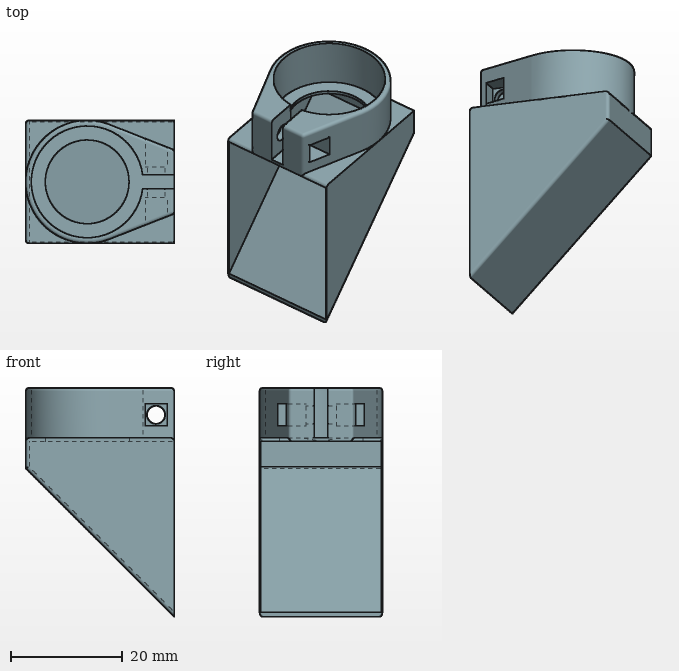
import cadquery as cq
import math

length = 26.6
width = 22.0
height = 41.0

ring_height = 8.98
ring_radius = width / 2
bore_radius = 10.0
slot_width = 2.5
arm_end_half_width = 5.7

wall = 0.6
side_wall = 0.25
window_radius = 7.5
edge_radius = 0.6

screw_radius = 1.6
screw_end_distance = 3.3
screw_depth = 4.85
pocket_size = 3.95
screw_seat_thickness = 1.48

x_min = -ring_radius
x_max = x_min + length
wedge_top = height - ring_height
wedge_front_bottom = length
screw_x = x_max - screw_end_distance
screw_z = height - screw_depth


def make_wedge():
    """Block with a 45 degree underside and rounded outer edges."""
    profile = [
        (x_min, wedge_top),
        (x_max, wedge_top),
        (x_max, 0),
        (x_min, wedge_front_bottom),
    ]
    wedge = cq.Workplane("XZ").polyline(profile).close().extrude(width / 2, both=True)
    slope_edges = wedge.faces("<(1, 0, 1)").edges("not |Y")
    cross_edges = wedge.faces(">Z").edges("|Y")
    front_edges = wedge.faces("<X").edges("|Z")
    rounded_edges = slope_edges.vals() + cross_edges.vals() + front_edges.vals()
    return wedge.newObject(rounded_edges).fillet(edge_radius)


def make_cavity():
    """Inside of the wedge, open at +X, with thinner walls at the Y sides."""
    ceiling = wedge_top - wall
    inner_x = x_min + wall
    slope_rise = wall * math.sqrt(2)
    profile = [
        (inner_x, ceiling),
        (x_max, ceiling),
        (x_max, slope_rise),
        (inner_x, x_max - inner_x + slope_rise),
    ]
    return cq.Workplane("XZ").polyline(profile).close().extrude(width / 2 - side_wall, both=True)


def make_clamp():
    """Solid teardrop whose straight sides run tangent from the ring to the arm ends."""
    end_distance = math.hypot(x_max, arm_end_half_width)
    tangent_angle = math.atan2(arm_end_half_width, x_max) + math.acos(ring_radius / end_distance)
    tangent_x = ring_radius * math.cos(tangent_angle)
    tangent_y = ring_radius * math.sin(tangent_angle)
    foot = wedge_top - edge_radius
    clamp = (
        cq.Workplane("XY", origin=(0, 0, foot))
        .moveTo(tangent_x, tangent_y)
        .threePointArc((x_min, 0), (tangent_x, -tangent_y))
        .lineTo(x_max, -arm_end_half_width)
        .lineTo(x_max, arm_end_half_width)
        .close()
        .extrude(height - foot)
    )
    clamp = clamp.faces(">X").edges("|Z").fillet(edge_radius)
    return clamp.faces(">Z").edges().fillet(edge_radius)


def make_clamp_opening():
    """Bore of the ring joined to the slot between the arms."""
    base = cq.Workplane("XY", origin=(0, 0, wedge_top))
    bore = base.circle(bore_radius).extrude(ring_height)
    slot = base.center(x_max / 2, 0).rect(x_max, slot_width).extrude(ring_height)
    return bore.union(slot)


def make_screw_cut():
    """Round screw hole through both arms plus the square pockets at its ends."""
    across = cq.Workplane("XZ", origin=(screw_x, 0, screw_z))
    cut = across.circle(screw_radius).extrude(width / 2, both=True)
    pocket_start = slot_width / 2 + screw_seat_thickness
    pocket_depth = width / 2 - pocket_start
    for side in (-1, 1):
        pocket_y = side * (pocket_start + pocket_depth / 2)
        pocket = cq.Workplane("XY").box(pocket_size, pocket_depth, pocket_size)
        cut = cut.union(pocket.translate((screw_x, pocket_y, screw_z)))
    return cut


window = cq.Workplane("XY", origin=(0, 0, wedge_top - wall)).circle(window_radius).extrude(wall)

result = (
    make_wedge()
    .union(make_clamp())
    .cut(make_clamp_opening())
    .cut(make_cavity())
    .cut(window)
    .cut(make_screw_cut())
)